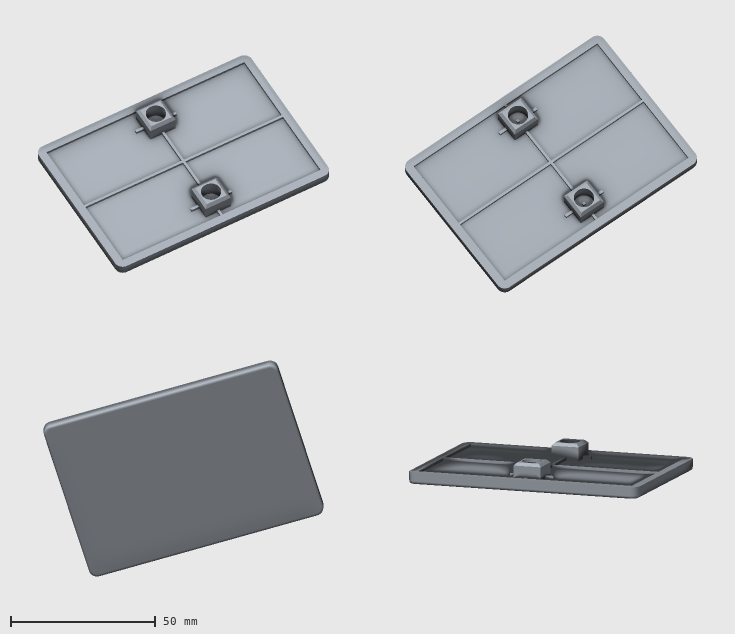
import cadquery as cq

LENGTH = 84.6
WIDTH = 59.3
HEIGHT = 9.0
PLATE_THICKNESS = 4.15
CORNER_RADIUS = 3.0
BOTTOM_FILLET = 1.0
FRAME_WIDTH = 3.0
POCKET_DEPTH = 1.0
RIB_WIDTH = 0.9

SOCKET_SPACING = 38.7
SOCKET_SIDE = 10.0
SOCKET_CHAMFER = 1.0
BORE_DIAMETER = 7.0

PIN_SIDE = 1.0
PIN_SPAN = 16.0

FLOOR_Z = PLATE_THICKNESS - POCKET_DEPTH
POCKET_WIDTH = WIDTH - 2 * FRAME_WIDTH
POCKET_LENGTH = LENGTH - 2 * FRAME_WIDTH


def block(width, length, bottom, top):
    """Box centred on the Z axis between two heights."""
    return cq.Workplane("XY").workplane(offset=bottom).rect(width, length).extrude(top - bottom)


def make_tray():
    """Rounded plate with a shallow pocket divided by two crossing ribs."""
    plate = block(WIDTH, LENGTH, 0, PLATE_THICKNESS).edges("|Z").fillet(CORNER_RADIUS)
    plate = plate.faces("<Z").edges().fillet(BOTTOM_FILLET)
    pocket = block(POCKET_WIDTH, POCKET_LENGTH, FLOOR_Z, PLATE_THICKNESS)
    long_rib = block(RIB_WIDTH, POCKET_LENGTH, FLOOR_Z, PLATE_THICKNESS)
    cross_rib = block(POCKET_WIDTH, RIB_WIDTH, FLOOR_Z, PLATE_THICKNESS)
    return plate.cut(pocket).union(long_rib).union(cross_rib)


def make_socket_body():
    """Chamfered square block with side pins, standing on the pocket floor."""
    body = block(SOCKET_SIDE, SOCKET_SIDE, FLOOR_Z, HEIGHT)
    body = body.faces(">Z").edges().chamfer(SOCKET_CHAMFER)
    side_pins = block(PIN_SIDE, PIN_SPAN, FLOOR_Z, FLOOR_Z + PIN_SIDE)
    return body.union(side_pins)


def make_bore():
    """Round bore down to the pocket floor, leaving a short central pin."""
    bore = cq.Workplane("XY").workplane(offset=FLOOR_Z).circle(BORE_DIAMETER / 2)
    bore = bore.extrude(HEIGHT - FLOOR_Z)
    return bore.cut(block(PIN_SIDE, PIN_SIDE, FLOOR_Z, FLOOR_Z + PIN_SIDE))


result = make_tray()
for side in (-1, 1):
    position = (side * SOCKET_SPACING / 2, 0, 0)
    result = result.union(make_socket_body().translate(position))
    result = result.cut(make_bore().translate(position))